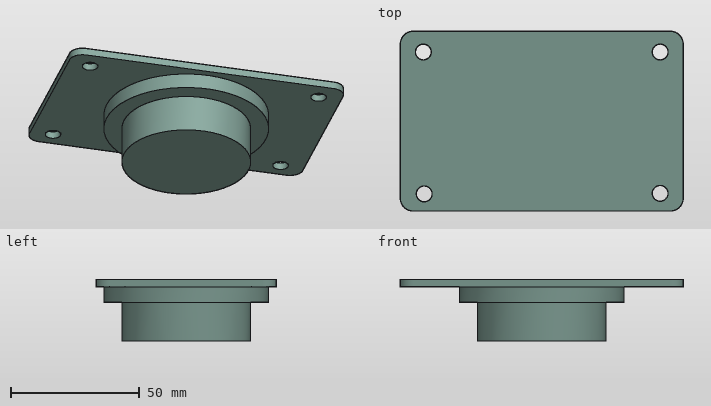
import cadquery as cq

plate_length = 110.0
plate_width = 70.0
plate_thickness = 3.0
corner_radius = 5.2

flange_diameter = 64.0
flange_height = 6.0
spigot_diameter = 50.0
spigot_height = 15.0

hole_diameter = 6.0
hole_x = 46.0
hole_back_y = 26.8
hole_front_y = -28.0
front_left_hole_x = -45.6
front_left_hole_y = -28.3
hole_centres = [
    (-hole_x, hole_back_y),
    (hole_x, hole_back_y),
    (hole_x, hole_front_y),
    (front_left_hole_x, front_left_hole_y),
]


def make_plate():
    """Rounded rectangular plate with four through holes."""
    blank = (
        cq.Workplane("XY")
        .rect(plate_length, plate_width)
        .extrude(-plate_thickness)
        .edges("|Z")
        .fillet(corner_radius)
    )
    holes = (
        cq.Workplane("XY")
        .pushPoints(hole_centres)
        .circle(hole_diameter / 2)
        .extrude(-plate_thickness)
    )
    return blank.cut(holes)


def make_disc(diameter, height, top_z):
    """Solid disc on the Z axis, extending down from top_z."""
    return cq.Workplane("XY").workplane(offset=top_z).circle(diameter / 2).extrude(-height)


flange_top = -plate_thickness
spigot_top = flange_top - flange_height
flange = make_disc(flange_diameter, flange_height, flange_top)
spigot = make_disc(spigot_diameter, spigot_height, spigot_top)

result = make_plate().union(flange).union(spigot)